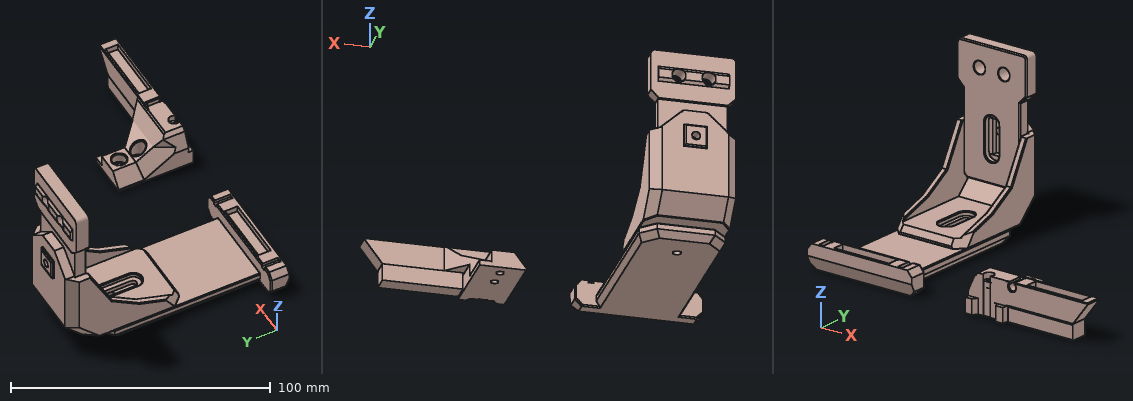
import cadquery as cq
import math

EDGE = 0.5

SCREW_DIA = 3.3
SLOT_WIDTH = 6.9
SLOT_LENGTH = 19.0
SLOT_EDGE = 0.4
GROOVE_LENGTH = 15.0
GROOVE_WIDTH = 3.1

PLATE_WIDTH = 34.5
PLATE_TOP = 5.3
PLATE_BACK = 77.7
PLATE_BEVEL = 2.7
PLATE_SIDE_INSET = 1.6
PLATE_BACK_INSET = 2.5
PLATE_EDGE = 0.4
PLATE_CORNER = 5.7
BAR_LENGTH = 51.4
BAR_WIDTH = 8.2
BAR_TOP = 11.5
BAR_BEVEL = 2.7
BAR_TOP_BEVEL_X = 2.2
BAR_UNDERCUT_Z = 6.1
BAR_UNDERCUT_Y = 2.7
POCKET_LENGTH = 26.9
POCKET_WIDTH = 5.5
POCKET_DEPTH = 2.7
BAR_POCKET_Y = 4.2
NOTCH_X = 19.3
NOTCH_WIDTH = 2.2
NOTCH_FRONT = 1.0
NOTCH_DEPTH = 1.4
TRAY_SCREW_Y = 64.0

WING_THICKNESS = 3.0
WING_EDGE = 0.4
SOLE_EDGE = 0.3
FLOOR_TOP = 9.1
NOSE_BOTTOM_Y = 41.5
NOSE_TOP_Y = 43.2
NOSE_LIP_TOP = 6.4
WALL_FRONT = 87.5
WALL_BACK = 91.6
WALL_CORNER = WALL_BACK - WALL_FRONT
HEEL = 7.6
WING_TOP = 39.7
WING_FRONT_Y = 82.3
WING_KNEES = [(73.0, 22.3), (61.0, 15.0)]
CREST_TOP = 47.7
CREST_HALF = 4.8
CREST_FOOT_HALF = 13.6
FILLET_BEVEL = 7.5
FLOOR_SLOT_Y = 60.5
FLOOR_SLOT_DEPTH = 1.9
TOE_CUT_Y = 45.4
TOE_LEAN = 0.72
BOSS_SIZE = 9.1
BOSS_EDGE = 0.5
BOSS_BACK = 92.7
BRACKET_SCREW_Z = 37.0

UPRIGHT_FRONT = 82.5
UPRIGHT_BOTTOM = FLOOR_TOP + FILLET_BEVEL
UPRIGHT_WIDTH = 27.7
HEAD_WIDTH = 34.0
HEAD_BACK = 88.7
HEAD_TOP = 73.4
HEAD_CORNER = 1.8
SHOULDER_TOP = 56.3
FOOT_CORNER = 1.6
UPRIGHT_SLOT_Z = 35.3
UPRIGHT_SLOT_DEPTH = 2.5
STEP_DEPTH = 0.3
MOUNT_HOLE_DIA = 5.5
MOUNT_HOLE_RIM = 5.8
MOUNT_HOLE_X = 6.0
MOUNT_HOLE_Z = 63.3
RIB_LENGTH = 28.3
RIB_ROOT = 6.3
RIB_TIP = 3.7
RIB_DEPTH = 1.0

ARM_LEFT = 51.6
ARM_BOTTOM = 0.5
ARM_TOP = 17.7
ARM_FRONT = 2.0
ARM_BACK = 9.8
ARM_RIGHT = 110.2
BEAM_END_X = 102.9
BEAM_BOTTOM = 7.5
BASE_RIGHT = 70.2
BASE_BACK = 32.7
BASE_TOP = 2.7
PAD_RIGHT = 65.4
PAD_TOP = 7.6
RAMP_START_Y = 22.7
RAMP_KNEE_Y = 15.1
RAMP_KNEE_Z = 12.2
RAMP_END_Y = 10.6
RAMP_END_Z = 17.3
SIDE_TOP_X = 56.3
PAD_BEVEL_BOTTOM = 1.5
RAMP_BEVEL_BOTTOM = 0.8
BEAM_BEVEL_BOTTOM = 9.5
BEAM_BEVEL_KNEE = (54.6, 16.0)
BEAM_EDGE = 0.3
TIP_EDGE = 0.4
RELIEF_X = 53.0
RELIEF_Y = 8.2
FOOT_TOP = 7.2
FOOT_INNER_LEFT = 55.0
FOOT_INNER_RIGHT = 66.7
FOOT_DRAFT = 1.5
ARM_HOLE_X = 60.7
ARM_HOLE_YS = (19.3, 27.6)
ARM_HOLE_DIA = 3.0
ARM_BORE_DIA = 5.8
ARM_BORE_FLOOR = 3.3
ARM_BORE_EDGE = 0.4
ARM_HOLE_RIM = 4.1
NOTCHED_BORE_DIA = 4.3
NOTCHED_BORE_Y = 3.5
NOTCHED_BORE_FLOOR = 15.0
PILOT_DIA = 1.8
PILOT_FLOOR = 12.2
CHANNEL_WIDTH = 3.3
CHANNEL_DEPTH = 0.3
CRADLE_X = 73.1
CRADLE_Z = 15.6
CRADLE_DIA = 3.3
CRADLE_RIM = 4.1
CRADLE_NECK = 2.5
CRADLE_BACK = 8.7
ARM_POCKET_X = 93.1
ARM_POCKET_Y = 6.0

KEEL_LEFT = 70.8
KEEL_EDGE = 0.4


def box(x0, x1, y0, y1, z0, z1):
    return cq.Workplane("XY").box(x1 - x0, y1 - y0, z1 - z0, centered=False).translate((x0, y0, z0))


def prism_x(points, x0, x1):
    """Extrude a (Y, Z) outline from x0 to x1."""
    return cq.Workplane("YZ", origin=(x0, 0, 0)).polyline(points).close().extrude(x1 - x0)


def prism_y(points, y0, y1):
    """Extrude an (X, Z) outline from y0 to y1."""
    return cq.Workplane("XZ", origin=(0, y0, 0)).polyline(points).close().extrude(y0 - y1)


def prism_z(points, z0, z1):
    """Extrude an (X, Y) outline from z0 to z1."""
    return cq.Workplane("XY", origin=(0, 0, z0)).polyline(points).close().extrude(z1 - z0)


def mirrored(points):
    """Complete a right-hand half outline with its mirror image in X."""
    return points + [(-x, v) for x, v in reversed(points)]


def cylinder_z(dia, x, y, z0, z1):
    return cq.Workplane("XY", origin=(x, y, z0)).circle(dia / 2).extrude(z1 - z0)


def cylinder_y(dia, x, z, y0, y1):
    return cq.Workplane("XZ", origin=(x, y0, z)).circle(dia / 2).extrude(y0 - y1)


def make_tray():
    half = PLATE_WIDTH / 2
    bar_half = BAR_LENGTH / 2
    joint = BAR_WIDTH / 2

    def plate_outline(side, back):
        return mirrored([(side, joint), (side, back - PLATE_CORNER), (side - PLATE_CORNER, back)])

    plate = prism_z(plate_outline(half, PLATE_BACK), PLATE_BEVEL, PLATE_TOP)
    plate = plate.faces(">Z").edges("not <Y").chamfer(PLATE_EDGE)
    bevelled = (
        cq.Workplane("XY")
        .polyline(plate_outline(half - PLATE_SIDE_INSET, PLATE_BACK - PLATE_BACK_INSET)).close()
        .workplane(offset=PLATE_BEVEL).polyline(plate_outline(half, PLATE_BACK)).close()
        .loft(ruled=True)
    )
    plate = plate.union(bevelled)

    bar = prism_y(
        mirrored([
            (bar_half - BAR_BEVEL, 0),
            (bar_half, BAR_BEVEL),
            (bar_half, BAR_TOP - BAR_BEVEL),
            (bar_half - BAR_TOP_BEVEL_X, BAR_TOP),
        ]),
        0, BAR_WIDTH,
    )
    bar = bar.faces(">Y").edges().chamfer(EDGE)
    undercut = prism_x([(0, 0), (BAR_UNDERCUT_Y, 0), (0, BAR_UNDERCUT_Z)], -bar_half, bar_half)

    tray = plate.union(bar).cut(undercut)
    pocket_half = POCKET_LENGTH / 2
    tray = tray.cut(box(-pocket_half, pocket_half, BAR_POCKET_Y - POCKET_WIDTH / 2,
                        BAR_POCKET_Y + POCKET_WIDTH / 2, BAR_TOP - POCKET_DEPTH, BAR_TOP))
    for side in (-1, 1):
        x0 = side * NOTCH_X - NOTCH_WIDTH / 2
        tray = tray.cut(box(x0, x0 + NOTCH_WIDTH, NOTCH_FRONT, BAR_WIDTH, BAR_TOP - NOTCH_DEPTH, BAR_TOP))
    return tray.cut(cylinder_z(SCREW_DIA, 0, TRAY_SCREW_Y, 0, PLATE_TOP))


def slot_cutter(depth, through, stepped):
    """Recessed slot, long in Y, sunk from Z = 0 down; the groove goes on down to -through."""
    top = cq.Workplane("XY").slot2D(SLOT_LENGTH, SLOT_WIDTH, 90).extrude(-depth)
    rim = (
        cq.Workplane("XY").slot2D(SLOT_LENGTH + 2 * SLOT_EDGE, SLOT_WIDTH + 2 * SLOT_EDGE, 90)
        .extrude(-SLOT_EDGE, taper=45)
    )
    cutter = top.union(rim)
    if stepped:
        band = cq.Workplane("XY").rect(SLOT_WIDTH, GROOVE_LENGTH).extrude(-depth - STEP_DEPTH)
        bore = cq.Workplane("XY").slot2D(SLOT_LENGTH, SLOT_WIDTH, 90).extrude(-depth - STEP_DEPTH)
        groove = cq.Workplane("XY").rect(GROOVE_WIDTH, GROOVE_LENGTH).extrude(-through)
        return cutter.union(band.intersect(bore)).union(groove)
    return cutter.union(cq.Workplane("XY").slot2D(GROOVE_LENGTH, GROOVE_WIDTH, 90).extrude(-through))


def make_bracket():
    half = PLATE_WIDTH / 2
    inner_half = half - WING_THICKNESS
    heel_y = WALL_BACK - HEEL
    side_outline = [
        (NOSE_BOTTOM_Y, NOSE_LIP_TOP),
        (NOSE_BOTTOM_Y, PLATE_TOP),
        (heel_y, PLATE_TOP),
        (WALL_BACK, PLATE_TOP + HEEL),
        (WALL_BACK, WING_TOP),
        (WING_FRONT_Y, WING_TOP),
        *WING_KNEES,
        (NOSE_TOP_Y, FLOOR_TOP),
    ]
    bracket = prism_x(side_outline, -half, half)
    rear_edges = cq.selectors.BoxSelector(
        (-half - 1.4, heel_y - 1.4, PLATE_TOP - 1.4), (half + 1.4, WALL_BACK + 1.4, WING_TOP + 1.4)
    )
    bracket = bracket.edges("|(0,1,1) or |Z").edges(rear_edges).edges("<X or >X").chamfer(WALL_CORNER)

    crest = prism_y(
        mirrored([(CREST_FOOT_HALF, WING_TOP), (CREST_HALF, CREST_TOP)]), WALL_FRONT, WALL_BACK
    )
    bracket = bracket.union(crest)

    channel = prism_x(
        [
            (NOSE_BOTTOM_Y, FLOOR_TOP),
            (WALL_FRONT - FILLET_BEVEL, FLOOR_TOP),
            (WALL_FRONT, FLOOR_TOP + FILLET_BEVEL),
            (WALL_FRONT, CREST_TOP),
            (NOSE_BOTTOM_Y, CREST_TOP),
        ],
        -inner_half, inner_half,
    )
    bracket = bracket.cut(channel)
    wing_slopes = cq.selectors.BoxSelector(
        (-half - 1.4, NOSE_TOP_Y, FLOOR_TOP + 1.4), (half + 1.4, WING_FRONT_Y, WING_TOP)
    )
    bracket = bracket.edges(wing_slopes).edges("#X").chamfer(WING_EDGE)
    bracket = bracket.cut(toe_cutters())
    bracket = bracket.faces("<Z").edges().chamfer(SOLE_EDGE)
    return bracket.union(back_boss()).cut(bracket_openings())


def toe_cutters():
    """Leaning 45 degree cuts across the two front corners of the bracket."""
    half = PLATE_WIDTH / 2
    height = 2 * FLOOR_TOP
    shift = TOE_LEAN * height

    def corner(z, rear_y):
        return (
            cq.Workplane("XY", origin=(0, 0, z))
            .moveTo(half, rear_y).lineTo(half, rear_y - height).lineTo(half - height, rear_y - height)
            .close().wires().val()
        )

    low = corner(PLATE_TOP, TOE_CUT_Y)
    high = corner(PLATE_TOP + height, TOE_CUT_Y + shift)
    right = cq.Workplane(cq.Solid.makeLoft([low, high], True))
    return right.union(right.mirror("YZ"))


def back_boss():
    boss = box(-BOSS_SIZE / 2, BOSS_SIZE / 2, WALL_BACK, BOSS_BACK,
               BRACKET_SCREW_Z - BOSS_SIZE / 2, BRACKET_SCREW_Z + BOSS_SIZE / 2)
    return boss.faces(">Y").edges().chamfer(BOSS_EDGE)


def bracket_openings():
    slot = slot_cutter(FLOOR_SLOT_DEPTH, FLOOR_TOP, False).translate((0, FLOOR_SLOT_Y, FLOOR_TOP))
    return slot.union(cylinder_y(SCREW_DIA, 0, BRACKET_SCREW_Z, WALL_FRONT, BOSS_BACK))


def make_upright():
    half = UPRIGHT_WIDTH / 2
    head_half = HEAD_WIDTH / 2
    shoulder_bottom = SHOULDER_TOP - (head_half - half)
    outline = mirrored([
        (half - FOOT_CORNER, UPRIGHT_BOTTOM),
        (half, UPRIGHT_BOTTOM + FOOT_CORNER),
        (half, shoulder_bottom),
        (head_half, SHOULDER_TOP),
        (head_half, HEAD_TOP),
    ])
    upright = prism_y(outline, UPRIGHT_FRONT, HEAD_BACK)
    upright = upright.edges("|Y").edges(">Z").fillet(HEAD_CORNER)
    upright = upright.faces("<Y").edges().chamfer(EDGE)
    upright = upright.cut(box(-half, half, WALL_FRONT, HEAD_BACK, UPRIGHT_BOTTOM, shoulder_bottom))

    rib = prism_x(
        [
            (HEAD_BACK, MOUNT_HOLE_Z - RIB_ROOT / 2),
            (HEAD_BACK + RIB_DEPTH, MOUNT_HOLE_Z - RIB_TIP / 2),
            (HEAD_BACK + RIB_DEPTH, MOUNT_HOLE_Z + RIB_TIP / 2),
            (HEAD_BACK, MOUNT_HOLE_Z + RIB_ROOT / 2),
        ],
        -RIB_LENGTH / 2, RIB_LENGTH / 2,
    )
    upright = upright.union(rib)
    rim = (MOUNT_HOLE_RIM - MOUNT_HOLE_DIA) / 2
    for x in (-MOUNT_HOLE_X, MOUNT_HOLE_X):
        hole = cylinder_y(MOUNT_HOLE_DIA, x, MOUNT_HOLE_Z, UPRIGHT_FRONT, HEAD_BACK + RIB_DEPTH)
        rim_cone = (
            cq.Workplane("XZ", origin=(x, UPRIGHT_FRONT, MOUNT_HOLE_Z))
            .circle(MOUNT_HOLE_RIM / 2).extrude(-rim, taper=45)
        )
        upright = upright.cut(hole).cut(rim_cone)

    slot = slot_cutter(UPRIGHT_SLOT_DEPTH, HEAD_BACK - UPRIGHT_FRONT, True)
    slot = slot.rotate((0, 0, 0), (1, 0, 0), 90).translate((0, UPRIGHT_FRONT, UPRIGHT_SLOT_Z))
    return upright.cut(slot)


def make_arm():
    arm = arm_body().union(arm_feet())
    arm = cut_mount_holes(arm).cut(front_bore_cutter()).cut(cradle_cutter())
    pocket = box(ARM_POCKET_X - POCKET_LENGTH / 2, ARM_POCKET_X + POCKET_LENGTH / 2,
                 ARM_POCKET_Y - POCKET_WIDTH / 2, ARM_POCKET_Y + POCKET_WIDTH / 2,
                 ARM_TOP - POCKET_DEPTH, ARM_TOP)
    return arm.cut(pocket)


def arm_body():
    base = box(SIDE_TOP_X, BASE_RIGHT, ARM_FRONT, BASE_BACK, ARM_BOTTOM, BASE_TOP)
    pad = prism_y(
        [
            (ARM_LEFT, ARM_BOTTOM), (PAD_RIGHT, ARM_BOTTOM), (PAD_RIGHT, PAD_TOP),
            (SIDE_TOP_X, PAD_TOP), (ARM_LEFT, PAD_BEVEL_BOTTOM),
        ],
        ARM_FRONT, BASE_BACK,
    )

    slope = (RAMP_KNEE_Z - PAD_TOP) / (RAMP_START_Y - RAMP_KNEE_Y)
    top_at_front = PAD_TOP + slope * (RAMP_START_Y - ARM_FRONT)
    ramp_section = [
        (ARM_FRONT, ARM_BOTTOM),
        (RAMP_START_Y, ARM_BOTTOM),
        (RAMP_START_Y, PAD_TOP),
        (ARM_FRONT, top_at_front),
    ]
    edge_section = [
        (ARM_FRONT, ARM_BOTTOM),
        (RAMP_START_Y, ARM_BOTTOM),
        (RAMP_START_Y, RAMP_BEVEL_BOTTOM),
        (ARM_FRONT, top_at_front - PAD_TOP + RAMP_BEVEL_BOTTOM),
    ]
    ramp = prism_x(ramp_section, SIDE_TOP_X, BEAM_END_X).union(
        cq.Workplane("YZ", origin=(ARM_LEFT, 0, 0)).polyline(edge_section).close()
        .workplane(offset=SIDE_TOP_X - ARM_LEFT).polyline(ramp_section).close().loft(ruled=True)
    )
    ramp = ramp.intersect(box(ARM_LEFT, BEAM_END_X, ARM_FRONT, BASE_BACK, ARM_BOTTOM, RAMP_KNEE_Z))

    root = prism_x(
        [
            (ARM_FRONT, ARM_BOTTOM), (RAMP_KNEE_Y, ARM_BOTTOM), (RAMP_KNEE_Y, RAMP_KNEE_Z),
            (RAMP_END_Y, RAMP_END_Z), (ARM_BACK, ARM_TOP), (ARM_FRONT, ARM_TOP),
        ],
        ARM_LEFT, BEAM_END_X,
    )
    relief_run = (SIDE_TOP_X - RELIEF_X) / (RAMP_KNEE_Y - RELIEF_Y)
    relief_exit_y = RELIEF_Y - (RELIEF_X - ARM_LEFT) / relief_run
    root = root.cut(prism_z(
        [(ARM_LEFT, relief_exit_y), (SIDE_TOP_X, RAMP_KNEE_Y), (ARM_LEFT, RAMP_KNEE_Y)],
        ARM_BOTTOM, ARM_TOP,
    ))

    ramp_reach = RAMP_START_Y - ARM_BACK
    plan = [
        (ARM_LEFT, ARM_FRONT), (BASE_RIGHT, ARM_FRONT), (BASE_RIGHT, ARM_BACK),
        (PAD_RIGHT + ramp_reach, ARM_BACK), (PAD_RIGHT, RAMP_START_Y), (ARM_LEFT, RAMP_START_Y),
    ]
    slopes = ramp.union(root).intersect(prism_z(plan, ARM_BOTTOM, ARM_TOP))
    bevel = prism_y(
        [(ARM_LEFT, BEAM_BEVEL_BOTTOM), BEAM_BEVEL_KNEE, (SIDE_TOP_X, ARM_TOP), (ARM_LEFT, ARM_TOP)],
        ARM_FRONT, BASE_BACK,
    )
    slopes = slopes.cut(bevel).cut(keel_space())

    beam = prism_y(
        [
            (SIDE_TOP_X, BEAM_BOTTOM), (BEAM_END_X, BEAM_BOTTOM), (ARM_RIGHT, ARM_TOP - TIP_EDGE),
            (ARM_RIGHT - TIP_EDGE, ARM_TOP), (SIDE_TOP_X, ARM_TOP),
        ],
        ARM_FRONT, ARM_BACK,
    )
    beam = beam.faces(">Z").edges("|X").chamfer(BEAM_EDGE)
    return base.union(pad).union(slopes).union(beam)


def keel_space():
    return box(BASE_RIGHT, BEAM_END_X, ARM_FRONT, BASE_BACK, ARM_BOTTOM, BEAM_BOTTOM)


def arm_feet():
    """Two dovetail feet that stand in front of the base."""
    left = prism_z(
        [
            (ARM_LEFT, 0), (FOOT_INNER_LEFT, 0),
            (FOOT_INNER_LEFT + FOOT_DRAFT, ARM_FRONT), (ARM_LEFT, ARM_FRONT),
        ],
        ARM_BOTTOM, FOOT_TOP,
    )
    root_x = FOOT_INNER_RIGHT - ARM_FRONT
    reach = ARM_FRONT * math.sqrt(0.5)
    right = (
        cq.Workplane("XY", origin=(0, 0, ARM_BOTTOM))
        .moveTo(FOOT_INNER_RIGHT, 0).lineTo(BASE_RIGHT, 0)
        .lineTo(BASE_RIGHT, ARM_FRONT).lineTo(root_x, ARM_FRONT)
        .threePointArc((root_x + reach, reach), (FOOT_INNER_RIGHT, 0))
        .close().extrude(FOOT_TOP - ARM_BOTTOM)
    )
    return left.union(right)


def cut_mount_holes(arm):
    """Two counterbored holes with bevelled rims, one in the pad and one in the ramp."""
    for y in ARM_HOLE_YS:
        arm = arm.cut(cylinder_z(ARM_BORE_DIA, ARM_HOLE_X, y, ARM_BORE_FLOOR, ARM_TOP))
        reach = ARM_BORE_DIA / 2 + ARM_BORE_EDGE
        rim = cq.selectors.BoxSelector(
            (ARM_HOLE_X - reach, y - reach, PAD_TOP - ARM_BORE_EDGE),
            (ARM_HOLE_X + reach, y + reach, RAMP_KNEE_Z),
            boundingbox=True,
        )
        arm = arm.edges(rim).chamfer(ARM_BORE_EDGE)
        arm = arm.cut(cylinder_z(ARM_HOLE_DIA, ARM_HOLE_X, y, ARM_BOTTOM, ARM_BORE_FLOOR))
        countersink = (
            cq.Workplane("XY", origin=(ARM_HOLE_X, y, ARM_BORE_FLOOR))
            .circle(ARM_HOLE_RIM / 2).extrude((ARM_HOLE_DIA - ARM_HOLE_RIM) / 2, taper=45)
        )
        arm = arm.cut(countersink)
    return arm


def front_bore_cutter():
    """Bore that breaks out of the beam's front, with a pilot hole and a shallow channel below it."""
    bore = cylinder_z(NOTCHED_BORE_DIA, ARM_HOLE_X, NOTCHED_BORE_Y, NOTCHED_BORE_FLOOR, ARM_TOP)
    pilot = cylinder_z(PILOT_DIA, ARM_HOLE_X, NOTCHED_BORE_Y, PILOT_FLOOR, ARM_TOP)
    channel = box(
        ARM_HOLE_X - CHANNEL_WIDTH / 2, ARM_HOLE_X + CHANNEL_WIDTH / 2,
        ARM_FRONT, ARM_FRONT + CHANNEL_DEPTH, ARM_BOTTOM, ARM_TOP,
    )
    return bore.union(pilot).union(channel)


def cradle_cutter():
    """Round-bottomed groove across the top of the beam, closed at the back."""
    round_part = cylinder_y(CRADLE_DIA, CRADLE_X, CRADLE_Z, ARM_FRONT, CRADLE_BACK)
    neck = box(CRADLE_X - CRADLE_NECK / 2, CRADLE_X + CRADLE_NECK / 2,
               ARM_FRONT, CRADLE_BACK, CRADLE_Z, ARM_TOP)
    mouth = (
        cq.Workplane("XZ", origin=(CRADLE_X, ARM_FRONT, CRADLE_Z))
        .circle(CRADLE_RIM / 2).extrude((CRADLE_DIA - CRADLE_RIM) / 2, taper=45)
    )
    return round_part.union(neck).union(mouth)


def make_keel():
    keel = box(KEEL_LEFT, BEAM_END_X, ARM_FRONT, ARM_BACK, ARM_BOTTOM, BEAM_BOTTOM)
    return keel.faces("<Y").edges("not >X").chamfer(KEEL_EDGE)


tray = make_tray()
bracket = make_bracket()
upright = make_upright()
arm = make_arm()
keel = make_keel()

result = cq.Compound.makeCompound([tray.val(), bracket.val(), upright.val(), arm.val(), keel.val()])